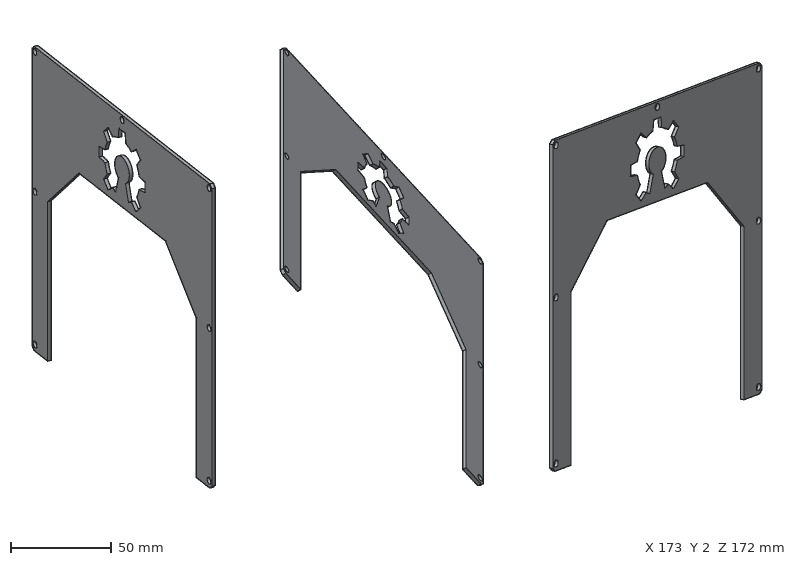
import cadquery as cq
import math

width = 173.0
height = 172.0
thickness = 2.0
corner_chamfer = 1.9

leg_width = 15.0
top_band = 51.9
shoulder_size = 30.0

hole_diameter = 3.5
hole_inset = 2.8
middle_hole_depth = 81.8
bottom_hole_inset = 3.8

gear_depth = 30.8
tooth_pitch = 45.0
tooth_tip_reach = 22.0
tip_half_width = 3.0
root_radius = 16.8
root_half_width = 3.6
hub_radius = 7.1
hub_neck_half_angle = 29.0
mouth_half_angle = 21.8
first_tooth_angle = 225.0
tooth_count = 7


def polar(radius, angle):
    """Point at an angle in degrees around the gear centre."""
    a = math.radians(angle)
    return (radius * math.cos(a), radius * math.sin(a) - gear_depth)


def make_plate():
    return (
        cq.Workplane("XZ")
        .rect(width, height)
        .extrude(thickness / 2, both=True)
        .translate((0, 0, -height / 2))
        .edges("|Y")
        .chamfer(corner_chamfer)
    )


def make_leg_opening():
    half_width = width / 2 - leg_width
    half_top = half_width - shoulder_size
    shoulder_z = -top_band - shoulder_size
    outline = [
        (-half_width, -height),
        (-half_width, shoulder_z),
        (-half_top, -top_band),
        (half_top, -top_band),
        (half_width, shoulder_z),
        (half_width, -height),
    ]
    return cq.Workplane("XZ").polyline(outline).close().extrude(thickness, both=True)


def make_holes():
    hole_x = width / 2 - hole_inset
    depths = [hole_inset, middle_hole_depth, height - bottom_hole_inset]
    centres = [(side * hole_x, -depth) for side in (-1, 1) for depth in depths]
    centres.append((0, -hole_inset))
    return (
        cq.Workplane("XZ").pushPoints(centres)
        .circle(hole_diameter / 2).extrude(thickness, both=True)
    )


def make_gear_cutout():
    root_half_angle = math.degrees(math.asin(root_half_width / root_radius))
    tip_half_angle = math.degrees(math.atan2(tip_half_width, tooth_tip_reach))
    tip_radius = math.hypot(tooth_tip_reach, tip_half_width)

    angle = 270 - mouth_half_angle
    outline = cq.Workplane("XZ").moveTo(*polar(root_radius, angle))
    for i in range(tooth_count):
        tooth = first_tooth_angle - i * tooth_pitch
        root_start = tooth + root_half_angle
        outline = (
            outline
            .threePointArc(polar(root_radius, (angle + root_start) / 2), polar(root_radius, root_start))
            .lineTo(*polar(tip_radius, tooth + tip_half_angle))
            .lineTo(*polar(tip_radius, tooth - tip_half_angle))
            .lineTo(*polar(root_radius, tooth - root_half_angle))
        )
        angle = tooth - root_half_angle
    mouth_end = -90 + mouth_half_angle
    return (
        outline
        .threePointArc(polar(root_radius, (angle + mouth_end) / 2), polar(root_radius, mouth_end))
        .lineTo(*polar(hub_radius, -90 + hub_neck_half_angle))
        .threePointArc(polar(hub_radius, 90), polar(hub_radius, 270 - hub_neck_half_angle))
        .close()
        .extrude(thickness, both=True)
    )


result = make_plate().cut(make_leg_opening()).cut(make_holes()).cut(make_gear_cutout())